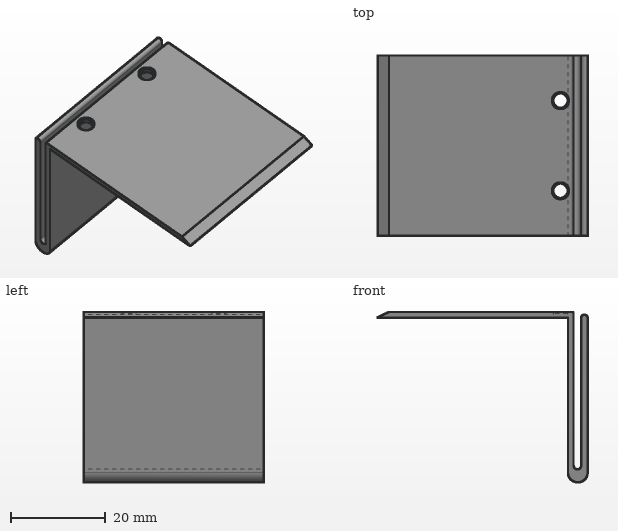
import cadquery as cq

length = 44.25
width = 38.0
height = 35.95

sheet = 1.25
gap = 1.55
lip = 1.4
lip_drop = 0.58
floor_thickness = 2.8
corner_radius = 0.3

bevel_length = 2.35
tip_thickness = 0.15

hole_diameter = 3.0
countersink_diameter = 3.6
hole_to_back = 5.75
hole_spacing = width / 2

lip_inner_x = length - lip
wall_outer_x = lip_inner_x - gap
wall_inner_x = wall_outer_x - sheet

shelf_bottom_z = height - sheet
fold_radius = (length - wall_inner_x) / 2
slot_arc_z = floor_thickness + gap / 2
lip_top_z = height - lip_drop
lip_arc_z = lip_top_z - lip / 2


def folded_body():
    """Extrude the shelf, wall and hooked lip across the width."""
    return (
        cq.Workplane("XZ")
        .moveTo(0, shelf_bottom_z)
        .lineTo(wall_inner_x, shelf_bottom_z)
        .lineTo(wall_inner_x, fold_radius)
        .threePointArc((wall_inner_x + fold_radius, 0), (length, fold_radius))
        .lineTo(length, lip_arc_z)
        .threePointArc((length - lip / 2, lip_top_z), (lip_inner_x, lip_arc_z))
        .lineTo(lip_inner_x, slot_arc_z)
        .threePointArc((wall_outer_x + gap / 2, floor_thickness), (wall_outer_x, slot_arc_z))
        .lineTo(wall_outer_x, height - corner_radius)
        .radiusArc((wall_outer_x - corner_radius, height), -corner_radius)
        .lineTo(bevel_length, height)
        .lineTo(0, shelf_bottom_z + tip_thickness)
        .close()
        .extrude(width / 2, both=True)
    )


def drill_holes(body):
    """Cut the two countersunk holes through the shelf."""
    return (
        body.faces(">Z")
        .workplane(origin=(length - hole_to_back, 0, height))
        .pushPoints([(0, -hole_spacing / 2), (0, hole_spacing / 2)])
        .cskHole(hole_diameter, countersink_diameter, 90, sheet)
    )


result = drill_holes(folded_body())